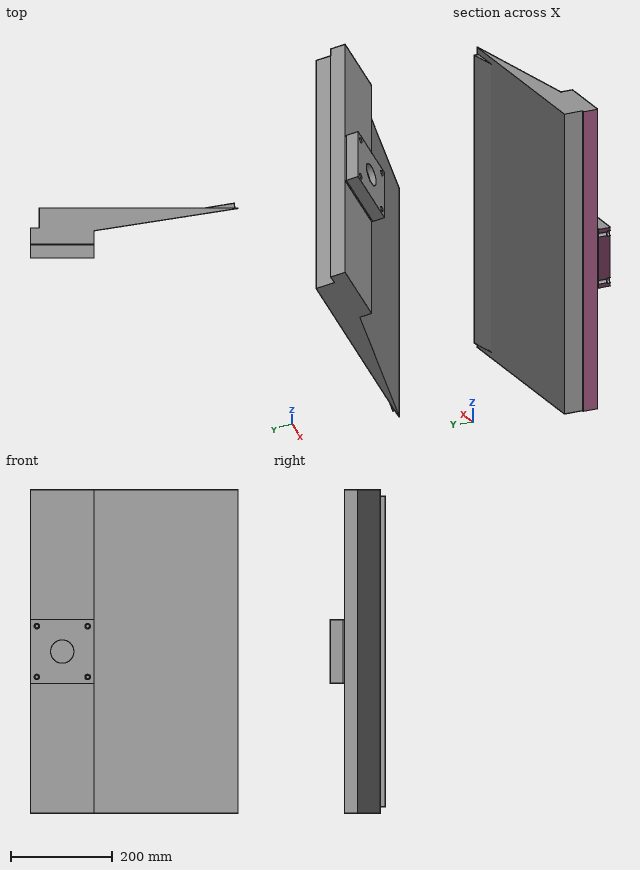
import cadquery as cq

height = 636.0
total_width = 408.0
block_width = 125.0
plate_thickness = 25.5
shim_thickness = 2.5
housing_front = plate_thickness + shim_thickness
housing_back = 98.5
step_width = 17.0
step_y = 59.0
slope_start_y = 53.5
tip_thickness = 1.0

plate_side = block_width
bore_diameter = 46.0
bore_depth = 13.0
screw_spacing = 100.0
screw_hole_diameter = 7.0
screw_head_diameter = 11.0
screw_head_depth = 6.5

total_depth = 108.0
ridge_end_margin = 13.0
ridge_height = height - 2 * ridge_end_margin
ridge_peak_x = 400.5
ridge_start_x = 343.0
ridge_rise = total_depth - housing_back
ridge_end_x = ridge_peak_x + ridge_rise**2 / (ridge_peak_x - ridge_start_x)


def upright_prism(points, prism_height):
    """Extrude an XY outline along Z, centred on Z = 0."""
    return cq.Workplane("XY").polyline(points).close().extrude(prism_height / 2, both=True)


def make_back_ridge():
    """Wedge on the back face, near the thin tip."""
    outline = [
        (ridge_start_x, housing_back),
        (ridge_end_x, housing_back),
        (ridge_peak_x, total_depth),
    ]
    return upright_prism(outline, ridge_height)


def make_housing():
    """Stepped block that tapers to a thin tip, with the ridge on its back face."""
    outline = [
        (0, housing_front),
        (block_width, housing_front),
        (block_width, slope_start_y),
        (total_width, housing_back - tip_thickness),
        (total_width, housing_back),
        (step_width, housing_back),
        (step_width, step_y),
        (0, step_y),
    ]
    return upright_prism(outline, height).union(make_back_ridge())


def make_shim():
    """Thin square sheet between the mounting plate and the housing."""
    shim = cq.Workplane("XY").box(plate_side, shim_thickness, plate_side)
    return shim.translate((block_width / 2, plate_thickness + shim_thickness / 2, 0))


def make_mounting_plate():
    """Square plate with a blind central bore and four counterbored screw holes."""
    plate = cq.Workplane("XY").box(plate_side, plate_thickness, plate_side)
    plate = plate.faces("<Y").workplane().hole(bore_diameter, bore_depth)
    plate = (
        plate.faces("<Y")
        .workplane()
        .rect(screw_spacing, screw_spacing, forConstruction=True)
        .vertices()
        .cboreHole(screw_hole_diameter, screw_head_diameter, screw_head_depth)
    )
    return plate.translate((block_width / 2, plate_thickness / 2, 0))


housing = make_housing()
shim = make_shim()
mounting_plate = make_mounting_plate()
result = cq.Compound.makeCompound([housing.val(), shim.val(), mounting_plate.val()])